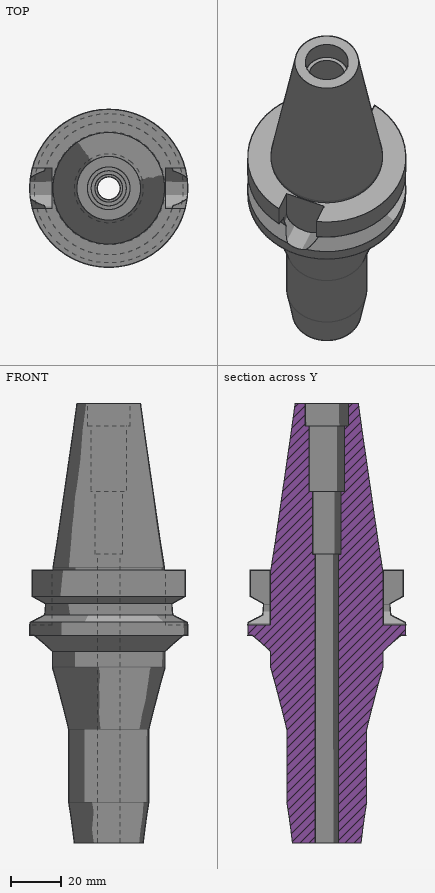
import cadquery as cq
import math


gauge_diameter = 44.45
taper_ratio = 7 / 24
taper_length = 65.4
total_length = 175.1

flange_diameter = 63.0
flange_top = -1.0
flange_bottom = -27.0
groove_diameter = 53.0
groove_center = -16.6
groove_floor_width = 4.5
groove_wall_angle = 30

slot_width = 16.1
slot_floor_distance = 22.5
slot_bottom = -22.8
cutter_overshoot = 1.0

shoulder_top_diameter = 59.4
collar_diameter = 45.0
collar_top = -33.3
collar_bottom = -39.6
shank_diameter = 32.0
shank_top = -64.4
shank_bottom = -93.4
tip_diameter = 27.5

counterbore_diameter = 17.0
counterbore_depth = 9.0
stud_bore_diameter = 14.0
stud_bore_depth = 35.0
middle_bore_diameter = 11.0
middle_bore_depth = 60.0
through_bore_diameter = 9.0

tip_z = taper_length - total_length


def body():
    """Revolve the outer profile of the taper, flange and nose around Z."""
    gauge_radius = gauge_diameter / 2
    flange_radius = flange_diameter / 2
    groove_radius = groove_diameter / 2
    small_end_radius = (gauge_diameter - taper_length * taper_ratio) / 2
    floor_half = groove_floor_width / 2
    wall_height = (flange_radius - groove_radius) * math.tan(math.radians(groove_wall_angle))
    mouth_half = floor_half + wall_height
    profile = [
        (0, taper_length),
        (small_end_radius, taper_length),
        (gauge_radius, 0),
        (gauge_radius, flange_top),
        (flange_radius, flange_top),
        (flange_radius, groove_center + mouth_half),
        (groove_radius, groove_center + floor_half),
        (groove_radius, groove_center - floor_half),
        (flange_radius, groove_center - mouth_half),
        (flange_radius, flange_bottom),
        (shoulder_top_diameter / 2, flange_bottom),
        (collar_diameter / 2, collar_top),
        (collar_diameter / 2, collar_bottom),
        (shank_diameter / 2, shank_top),
        (shank_diameter / 2, shank_bottom),
        (tip_diameter / 2, tip_z),
        (0, tip_z),
    ]
    return cq.Workplane("YZ").polyline(profile).close().revolve(360, (0, 0), (0, 1))


def drive_slot(side):
    """Round-bottomed slot cutter, open upward and outward; side is -1 or +1 along X."""
    slot_radius = slot_width / 2
    arc_center_z = slot_bottom + slot_radius
    cutter_length = flange_diameter / 2 - slot_floor_distance + cutter_overshoot
    return (
        cq.Workplane("YZ", origin=(side * slot_floor_distance, 0, 0))
        .moveTo(-slot_radius, flange_top)
        .lineTo(-slot_radius, arc_center_z)
        .threePointArc((0, slot_bottom), (slot_radius, arc_center_z))
        .lineTo(slot_radius, flange_top)
        .close()
        .extrude(side * cutter_length)
    )


def bore(diameter, depth):
    """Cylinder cutter going down from the small end of the taper."""
    return cq.Workplane("XY", origin=(0, 0, taper_length)).circle(diameter / 2).extrude(-depth)


result = body()
for side in (-1, 1):
    result = result.cut(drive_slot(side))

bore_steps = [
    (counterbore_diameter, counterbore_depth),
    (stud_bore_diameter, stud_bore_depth),
    (middle_bore_diameter, middle_bore_depth),
    (through_bore_diameter, total_length),
]
for diameter, depth in bore_steps:
    result = result.cut(bore(diameter, depth))